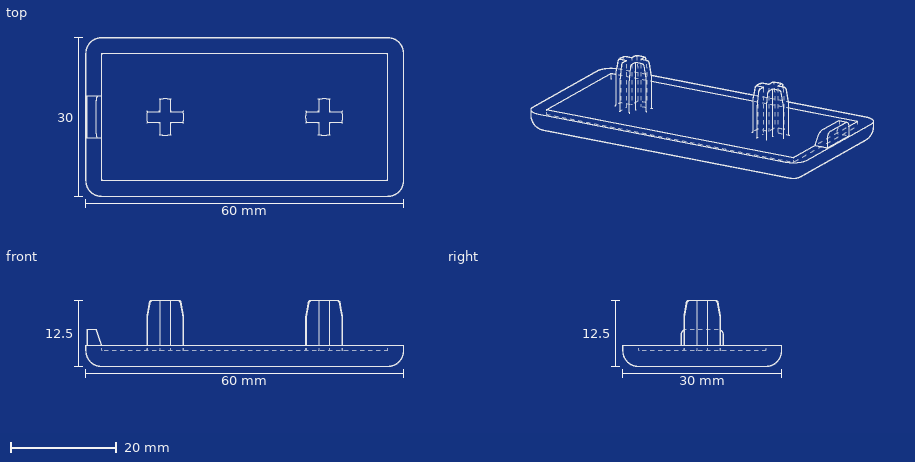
import cadquery as cq

LENGTH = 60.0
WIDTH = 30.0
PLATE_HEIGHT = 4.0
EDGE_RADIUS = 3.0

RIM = 3.0
POCKET_DEPTH = 1.0
POCKET_FILLET = 0.2
FLOOR_Z = PLATE_HEIGHT - POCKET_DEPTH

TOTAL_HEIGHT = 12.5
POST_SPACING = 30.0
POST_RADIUS = 3.5
ARM_WIDTH = 2.0
TAPER_HEIGHT = 3.0
TAPER_INSET = 0.55
POST_TOP_FILLET = 0.5
POST_BASE_FILLET = 0.2

CATCH_HEIGHT = 3.0
CATCH_WIDTH = 8.0
CATCH_EDGE_GAP = 0.25
CATCH_TOP_THICKNESS = 1.75
CATCH_CORNER_RADIUS = 1.0


def make_plate():
    """Slab with rounded corners, a rounded underside and the pocket."""
    slab = cq.Workplane("XY").box(LENGTH, WIDTH, PLATE_HEIGHT, centered=(True, True, False))
    slab = slab.edges("|Z").fillet(EDGE_RADIUS)
    slab = slab.faces("<Z").edges().fillet(EDGE_RADIUS)
    pocket = (
        cq.Workplane("XY")
        .workplane(offset=FLOOR_Z)
        .rect(LENGTH - 2 * RIM, WIDTH - 2 * RIM)
        .extrude(POCKET_DEPTH)
        .faces("<Z")
        .edges()
        .fillet(POCKET_FILLET)
    )
    return slab.cut(pocket)


def make_post():
    """Turned pin with a tapered, rounded tip, trimmed to a cross."""
    pin = (
        cq.Workplane("XZ")
        .moveTo(0, FLOOR_Z)
        .lineTo(POST_RADIUS, FLOOR_Z)
        .lineTo(POST_RADIUS, TOTAL_HEIGHT - TAPER_HEIGHT)
        .lineTo(POST_RADIUS - TAPER_INSET, TOTAL_HEIGHT)
        .lineTo(0, TOTAL_HEIGHT)
        .close()
        .revolve(360, (0, 0, 0), (0, 1, 0))
        .faces(">Z")
        .edges()
        .fillet(POST_TOP_FILLET)
    )
    arm = cq.Workplane("XY").rect(2 * POST_RADIUS, ARM_WIDTH).extrude(TOTAL_HEIGHT)
    cross = arm.union(arm.rotate((0, 0, 0), (0, 0, 1), 90))
    return pin.intersect(cross)


def make_catch():
    """Wedge with a sloping inner face and rounded upper corners."""
    outer_x = -LENGTH / 2 + CATCH_EDGE_GAP
    inner_x = -LENGTH / 2 + RIM
    catch_top = PLATE_HEIGHT + CATCH_HEIGHT
    wedge = (
        cq.Workplane("XZ")
        .moveTo(outer_x, FLOOR_Z)
        .lineTo(inner_x, FLOOR_Z)
        .lineTo(inner_x, PLATE_HEIGHT)
        .lineTo(outer_x + CATCH_TOP_THICKNESS, catch_top)
        .lineTo(outer_x, catch_top)
        .close()
        .extrude(CATCH_WIDTH / 2, both=True)
    )
    return wedge.faces(">Z").edges("|X").fillet(CATCH_CORNER_RADIUS)


result = make_plate()
for side in (-1, 1):
    result = result.union(make_post().translate((side * POST_SPACING / 2, 0, 0)))

FOOT_MARGIN = 0.05
foot_reach = POST_SPACING / 2 + POST_RADIUS + FOOT_MARGIN
post_feet = cq.selectors.BoxSelector(
    (-foot_reach, -POST_RADIUS - FOOT_MARGIN, FLOOR_Z - FOOT_MARGIN),
    (foot_reach, POST_RADIUS + FOOT_MARGIN, FLOOR_Z + FOOT_MARGIN),
)
result = result.edges(post_feet).fillet(POST_BASE_FILLET)

result = result.union(make_catch())